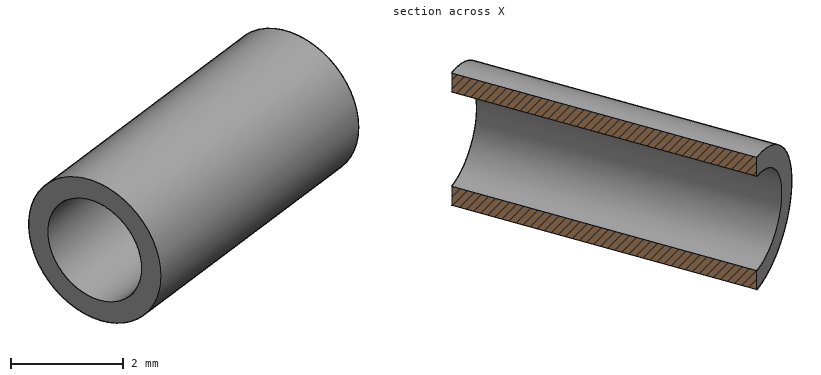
import cadquery as cq

length = 6.0
outer_diameter = 2.9
bore_diameter = 2.05

result = (
    cq.Workplane("XZ", origin=(0, length / 2, 0))
    .circle(outer_diameter / 2)
    .circle(bore_diameter / 2)
    .extrude(length)
)